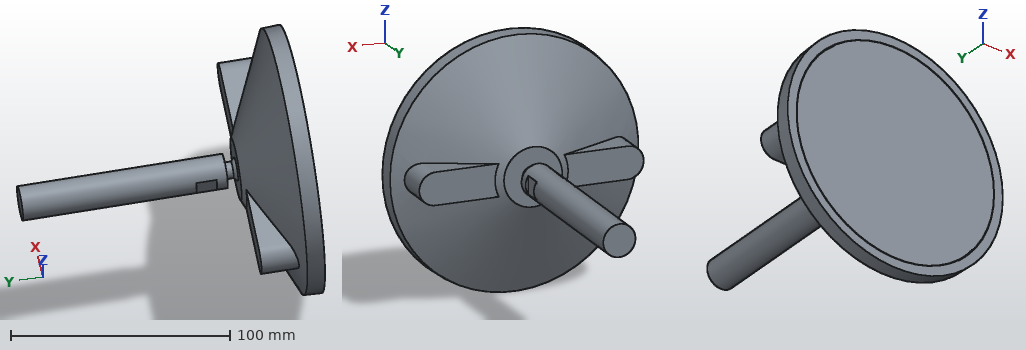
import cadquery as cq

total_length = 130.0

base_diameter = 124.0
rim_top_diameter = 123.2
rim_height = 8.2
cone_top_diameter = 28.9
base_height = 29.9

recess_diameter = 114.0
pad_diameter = 113.5
groove_depth = 2.0

lug_span = 111.3
lug_width = 16.0
lug_top = 28.2

ball_diameter = 12.5
ball_center_depth = 3.1
neck_diameter = 7.8
stem_diameter = 16.0
stem_start = 35.1

flat_start = 40.0
flat_end = 49.5
across_flats = 13.3


def workplane_at(height):
    """Plane across the axis at the given Y, with its normal along +Y."""
    return cq.Workplane(cq.Plane(origin=(0, height, 0), xDir=(1, 0, 0), normal=(0, 1, 0)))


def cylinder(diameter, start, end):
    return workplane_at(start).circle(diameter / 2).extrude(end - start)


def make_base():
    """Revolve the rim and cone, then cut the groove around the floor pad."""
    profile = [
        (0, 0),
        (base_diameter / 2, 0),
        (rim_top_diameter / 2, rim_height),
        (cone_top_diameter / 2, base_height),
        (0, base_height),
    ]
    body = cq.Workplane("XY").polyline(profile).close().revolve(360, (0, 0), (0, 1))
    groove = cylinder(recess_diameter, 0, groove_depth).cut(cylinder(pad_diameter, 0, groove_depth))
    return body.cut(groove)


def make_lugs():
    """Bar with rounded ends, starting at the rim top and emerging from the cone."""
    return workplane_at(rim_height).slot2D(lug_span, lug_width).extrude(lug_top - rim_height)


def make_joint():
    """Ball seated in the cone top, with the neck that joins it to the stem."""
    ball_center = base_height - ball_center_depth
    ball = cq.Workplane("XY").sphere(ball_diameter / 2).translate((0, ball_center, 0))
    return ball.union(cylinder(neck_diameter, ball_center, stem_start))


def make_stem():
    """Plain rod with two opposite wrench flats facing along X."""
    stem = cylinder(stem_diameter, stem_start, total_length)
    flat_length = flat_end - flat_start
    for side in (-1, 1):
        cutter = (
            cq.Workplane("XY")
            .box(stem_diameter, flat_length, stem_diameter)
            .translate((side * (across_flats + stem_diameter) / 2, flat_start + flat_length / 2, 0))
        )
        stem = stem.cut(cutter)
    return stem


result = make_base().union(make_lugs()).union(make_joint()).union(make_stem())